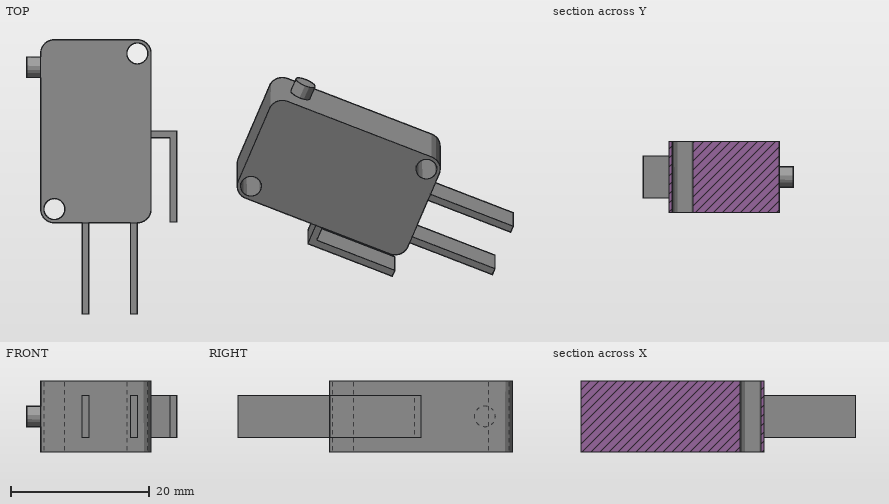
import cadquery as cq

body_width = 16.0
body_length = 26.5
body_height = 10.3
corner_radius = 2.0
mid_height = body_height / 2

hole_diameter = 3.0
hole_inset = 2.0

plunger_diameter = 3.0
plunger_length = 2.0
plunger_inset = 4.0
plunger_y = body_length - plunger_inset

blade_thickness = 1.0
blade_height = 6.1
blade_length = 13.2
straight_blade_starts = (6.0, 13.0)
bent_blade_reach = 3.7
bent_blade_inset = 13.2
bent_blade_top = body_length - bent_blade_inset


def make_housing():
    """Rounded block with two through holes."""
    housing = (
        cq.Workplane("XY")
        .box(body_width, body_length, body_height, centered=False)
        .edges("|Z")
        .fillet(corner_radius)
    )
    hole_centers = [
        (hole_inset, hole_inset),
        (body_width - hole_inset, body_length - hole_inset),
    ]
    holes = (
        cq.Workplane("XY")
        .pushPoints(hole_centers)
        .circle(hole_diameter / 2)
        .extrude(body_height)
    )
    return housing.cut(holes)


def make_plunger():
    """Round button standing out of the -X face."""
    return (
        cq.Workplane("YZ")
        .center(plunger_y, mid_height)
        .circle(plunger_diameter / 2)
        .extrude(-plunger_length)
    )


def make_plate(x_start, y_start, x_size, y_size):
    """Upright flat plate, centred on the housing height."""
    return (
        cq.Workplane("XY")
        .box(x_size, y_size, blade_height, centered=(False, False, True))
        .translate((x_start, y_start, mid_height))
    )


def make_bent_blade():
    """L-shaped terminal on the +X face, turned towards -Y."""
    arm = make_plate(
        body_width, bent_blade_top - blade_thickness, bent_blade_reach, blade_thickness
    )
    leg = make_plate(
        body_width + bent_blade_reach - blade_thickness,
        bent_blade_top - blade_length,
        blade_thickness,
        blade_length,
    )
    return arm.union(leg)


result = make_housing().union(make_plunger()).union(make_bent_blade())
for blade_start in straight_blade_starts:
    result = result.union(make_plate(blade_start, -blade_length, blade_thickness, blade_length))